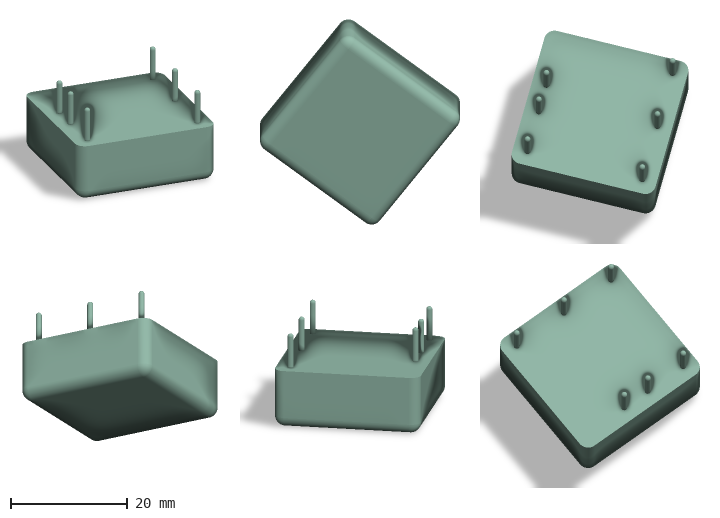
import cadquery as cq

body_side = 25.4
body_height = 10.15
edge_radius = 1.78

grid_pitch = 2.55
pin_radius = 0.5
pin_length = 6.0
tip_radius = 0.48

back_row_columns = [-4, 0, 4]
front_row_columns = [-1, 1, 4]
row_offset = 4


def make_body():
    """Block with rounded upright edges and a rounded bottom rim."""
    block = cq.Workplane("XY").box(body_side, body_side, body_height, centered=(True, True, False))
    return block.edges("|Z").fillet(edge_radius).faces("<Z").edges().fillet(edge_radius)


def make_pin(column, row):
    """Round pin with a rounded tip, standing on the top face."""
    pin = cq.Workplane("XY").circle(pin_radius).extrude(pin_length)
    pin = pin.faces(">Z").edges().fillet(tip_radius)
    return pin.translate((column * grid_pitch, row * grid_pitch, body_height))


result = make_body()
for row, columns in ((row_offset, back_row_columns), (-row_offset, front_row_columns)):
    for column in columns:
        result = result.union(make_pin(column, row))